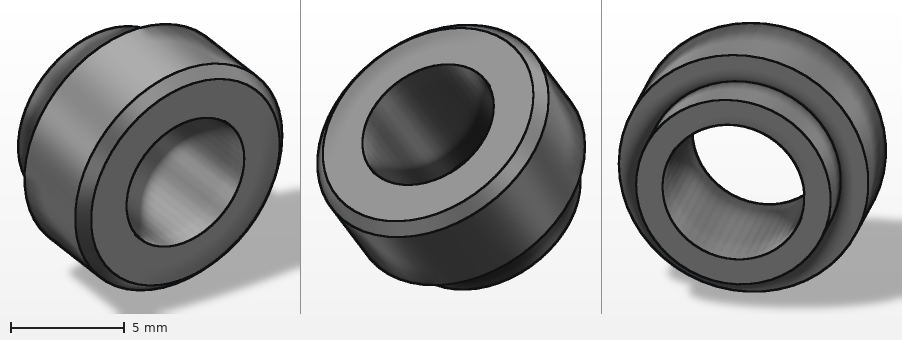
import cadquery as cq

total_length = 6.53
neck_length = 2.21
body_diameter = 11.18
neck_diameter = 8.71
bore_diameter = 6.35
chamfer_size = 0.5

body_length = total_length - neck_length

body = (
    cq.Workplane("YZ")
    .workplane(offset=neck_length)
    .circle(body_diameter / 2)
    .extrude(body_length)
    .faces(">X")
    .edges()
    .chamfer(chamfer_size)
)

neck = cq.Workplane("YZ").circle(neck_diameter / 2).extrude(neck_length)

bore = cq.Workplane("YZ").circle(bore_diameter / 2).extrude(total_length)

result = body.union(neck).cut(bore)